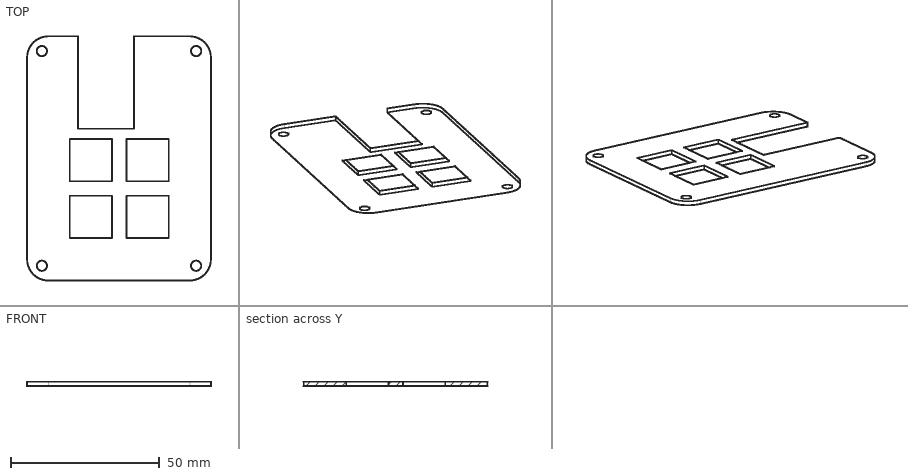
import cadquery as cq

plate_width = 61.8
plate_length = 82.1
plate_thickness = 1.5
corner_radius = 7.2

screw_hole_diameter = 3.4
screw_hole_edge_distance = 5.0

notch_width = 18.7
notch_depth = 31.0
notch_center_x = -4.35

key_opening = 14.0
key_pitch = 19.05
key_grid_center = (0.1, -10.1)
keys_per_side = 2


def make_plate():
    """Flat plate with rounded vertical corners."""
    blank = cq.Workplane("XY").rect(plate_width, plate_length).extrude(plate_thickness)
    return blank.edges("|Z").fillet(corner_radius)


def make_screw_holes():
    """Through cylinders at the four corners."""
    spacing_x = plate_width - 2 * screw_hole_edge_distance
    spacing_y = plate_length - 2 * screw_hole_edge_distance
    corners = cq.Workplane("XY").rect(spacing_x, spacing_y, forConstruction=True).vertices()
    return corners.circle(screw_hole_diameter / 2).extrude(plate_thickness)


def make_notch():
    """Through block reaching in from the +Y edge."""
    notch_center_y = plate_length / 2 - notch_depth / 2
    center = cq.Workplane("XY").center(notch_center_x, notch_center_y)
    return center.rect(notch_width, notch_depth).extrude(plate_thickness)


def make_key_openings():
    """Through square blocks on the key grid."""
    grid = cq.Workplane("XY").center(*key_grid_center)
    grid = grid.rarray(key_pitch, key_pitch, keys_per_side, keys_per_side)
    return grid.rect(key_opening, key_opening).extrude(plate_thickness)


result = make_plate().cut(make_screw_holes()).cut(make_notch()).cut(make_key_openings())